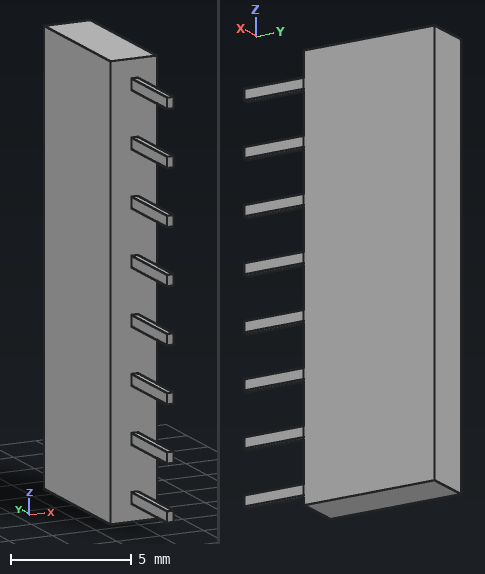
import cadquery as cq

body_width = 2.15
body_depth = 6.35
body_height = 19.91

pin_count = 8
pin_width = 0.3
pin_height = 0.5
pin_length = 3.42
pin_offset_x = 0.04
bottom_margin = 1.04
top_margin = 1.1
pin_pitch = (body_height - bottom_margin - top_margin) / (pin_count - 1)


def make_body():
    """Block centred in X, with its pin face at Y = 0 and its base at Z = 0."""
    return cq.Workplane("XY").box(body_width, body_depth, body_height, centered=(True, False, False))


def make_pins():
    """Pins running from the housing face toward -Y, evenly spaced along Z."""
    centers = [(pin_offset_x, bottom_margin + i * pin_pitch) for i in range(pin_count)]
    return (
        cq.Workplane("XZ")
        .pushPoints(centers)
        .rect(pin_width, pin_height)
        .extrude(pin_length)
    )


result = make_body().union(make_pins())